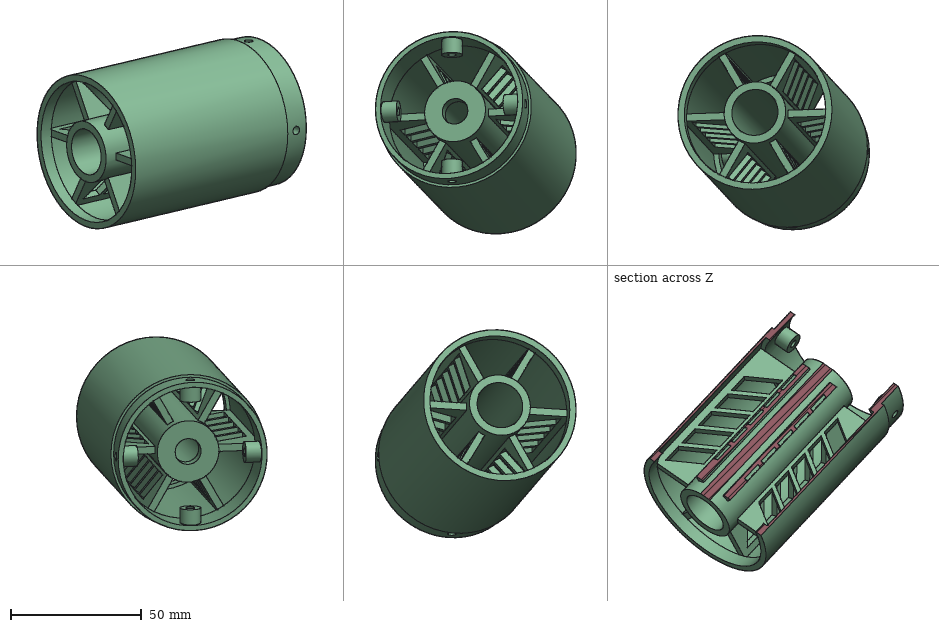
import cadquery as cq

length = 85
body_diameter = 60.0
spigot_diameter = 58.0
spigot_length = 10.0
body_bore_diameter = 58.0
lip_bore_diameter = 55.0
lip_length = 5.0
spigot_bore_diameter = 54.0
body_length = length - spigot_length
back_lip_start = body_length - lip_length

hub_diameter = 24.0
hub_bore_diameter = 17.9
shaft_hole_diameter = 10.0
hub_web_thickness = 5.0
hub_length = body_length

spoke_count = 6
spoke_thickness = 2.8
spoke_front = lip_length
spoke_back = back_lip_start

window_count = 5
window_pitch = 10.0
brace_width = 2.0
window_front = 8.2
window_slope = 0.63
window_edge_strip = 1.5

boss_count = 4
boss_diameter = 8.0
boss_inner_radius = 21.0
screw_hole_diameter = 3.2
boss_y = length - spigot_length / 2


def cylinder(diameter, start, end):
    """Solid cylinder on the Y axis from y = start to y = end."""
    return (
        cq.Workplane("XZ", origin=(0, start, 0))
        .circle(diameter / 2)
        .extrude(start - end)
    )


def radial_cylinder(diameter, inner_radius, outer_radius):
    """Cylinder pointing along +X at the bosses' position on Y."""
    return (
        cq.Workplane("YZ", origin=(inner_radius, boss_y, 0))
        .circle(diameter / 2)
        .extrude(outer_radius - inner_radius)
    )


def around_axis(shape, count):
    """Copies of a shape spaced evenly about the Y axis."""
    joined = shape
    for i in range(1, count):
        joined = joined.union(shape.rotate((0, 0, 0), (0, 1, 0), i * 360 / count))
    return joined


def make_tube():
    tube = cylinder(body_diameter, 0, body_length)
    tube = tube.union(cylinder(spigot_diameter, body_length, length))
    tube = tube.cut(cylinder(lip_bore_diameter, 0, lip_length))
    tube = tube.cut(cylinder(body_bore_diameter, lip_length, back_lip_start))
    return tube.cut(cylinder(spigot_bore_diameter, back_lip_start, length))


def make_spoke():
    """One spoke along +X; its ends run into the hub wall and the tube wall."""
    inner_end = (hub_diameter + hub_bore_diameter) / 4
    outer_end = (body_diameter + body_bore_diameter) / 4
    spoke = cq.Workplane("XY").box(
        outer_end - inner_end,
        spoke_back - spoke_front,
        spoke_thickness,
        centered=(False, False, True),
    ).translate((inner_end, spoke_front, 0))

    window_inner = hub_diameter / 2 + window_edge_strip
    window_outer = lip_bore_diameter / 2 - window_edge_strip
    slant = window_slope * (window_outer - window_inner)
    opening = window_pitch - brace_width
    for i in range(window_count):
        front = window_front + i * window_pitch
        window = (
            cq.Workplane("XY")
            .moveTo(window_outer, front)
            .lineTo(window_outer, front + opening)
            .lineTo(window_inner, front + opening + slant)
            .lineTo(window_inner, front + slant)
            .close()
            .extrude(spoke_thickness, both=True)
        )
        spoke = spoke.cut(window)
    return spoke


wall_middle_radius = (spigot_diameter + spigot_bore_diameter) / 4
boss = radial_cylinder(boss_diameter, boss_inner_radius, wall_middle_radius)
screw_hole = radial_cylinder(screw_hole_diameter, 0, body_diameter / 2)

result = make_tube().union(cylinder(hub_diameter, 0, hub_length))
result = result.union(around_axis(make_spoke(), spoke_count))
result = result.union(around_axis(boss, boss_count))
result = result.cut(cylinder(hub_bore_diameter, 0, hub_length - hub_web_thickness))
result = result.cut(cylinder(shaft_hole_diameter, 0, hub_length))
result = result.cut(around_axis(screw_hole, boss_count))